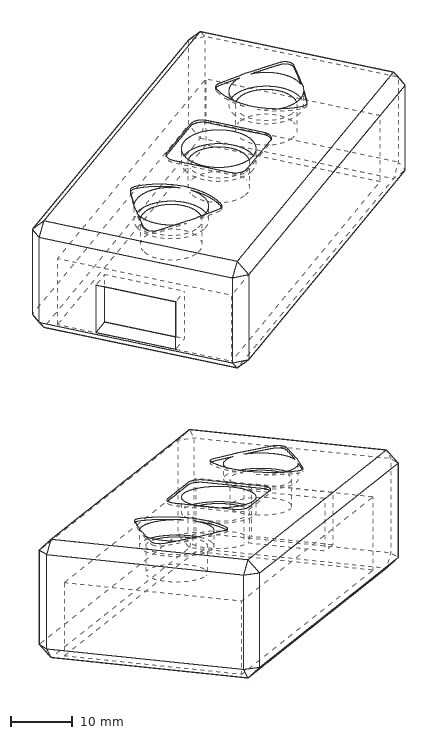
import cadquery as cq

width = 38.0
length = 70.0
height = 20.0
edge_chamfer = 2.0

wall = 3.7
cavity_height = 12.4

window_width = 14.0
window_bottom = 2.4
window_top = 11.3

hole_pitch = 20.0
bore_diameter = 10.0
counterbore_diameter = 12.1
counterbore_depth = 3.0

recess_depth = 0.4
square_side = 14.0
square_corner_radius = 2.0
triangle_tip_height = 10.35
triangle_half_width = 8.25
triangle_corner_drop = 2.25
triangle_base_drop = 6.0
triangle_side_bow = 0.3
triangle_corner_radius = 1.5


def hole_cutter(y):
    """Through bore with a counterbore from the top face."""
    bore = cq.Workplane("XY").center(0, y).circle(bore_diameter / 2).extrude(height)
    counterbore = (
        cq.Workplane("XY", origin=(0, y, height))
        .circle(counterbore_diameter / 2)
        .extrude(-counterbore_depth)
    )
    return bore.union(counterbore)


def square_recess():
    """Rounded square around the middle hole."""
    return (
        cq.Workplane("XY", origin=(0, 0, height))
        .rect(square_side, square_side)
        .extrude(-recess_depth)
        .edges("|Z")
        .fillet(square_corner_radius)
    )


def triangle_recess(y, direction):
    """Rounded triangle with bowed sides; its tip points along direction * Y."""
    tip = (0, direction * triangle_tip_height)
    right = (triangle_half_width, -direction * triangle_corner_drop)
    left = (-triangle_half_width, -direction * triangle_corner_drop)
    base_middle = (0, -direction * triangle_base_drop)
    bow = direction * triangle_side_bow
    return (
        cq.Workplane("XY", origin=(0, y, height))
        .moveTo(*tip)
        .sagittaArc(right, bow)
        .threePointArc(base_middle, left)
        .sagittaArc(tip, bow)
        .close()
        .extrude(-recess_depth)
        .edges("|Z")
        .fillet(triangle_corner_radius)
    )


block = (
    cq.Workplane("XY")
    .box(width, length, height, centered=(True, True, False))
    .edges()
    .chamfer(edge_chamfer)
)

cavity = cq.Workplane("XY").rect(width - 2 * wall, length - 2 * wall).extrude(cavity_height)

window = (
    cq.Workplane("XY", origin=(0, -length / 2, window_bottom))
    .box(window_width, 2 * wall, window_top - window_bottom, centered=(True, True, False))
)

result = block.cut(cavity).cut(window)
for y in (-hole_pitch, 0, hole_pitch):
    result = result.cut(hole_cutter(y))

result = result.cut(square_recess())
for direction in (-1, 1):
    result = result.cut(triangle_recess(direction * hole_pitch, direction))